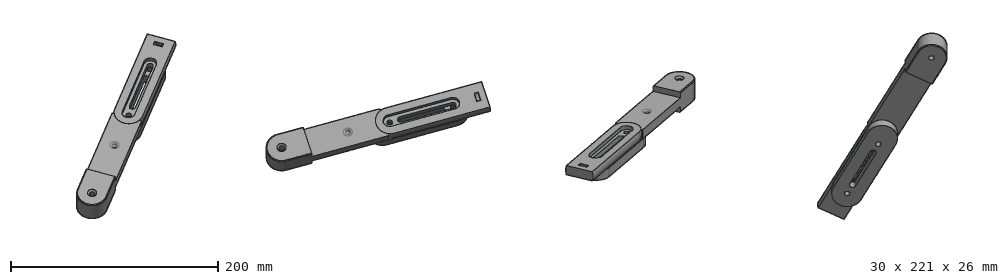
import cadquery as cq
import math

LENGTH = 221.0
WIDTH = 30.0
THICKNESS = 10.0
HALF_WIDTH = WIDTH / 2
SCREW_DIAMETER = 5.0

HEAD_LENGTH = 41.0
HEAD_HEIGHT = 22.0
HEAD_CHAMFER = 0.9
HEAD_BOTTOM = (THICKNESS - HEAD_HEIGHT) / 2
HEAD_HOLE_Y = HALF_WIDTH
COUNTERSINK_DIAMETER = 8.8
COUNTERSINK_ANGLE = 90.0

DETENT_Y = 81.8
DETENT_RADIUS = SCREW_DIAMETER / 2
DETENT_RIM_RADIUS = 2.5

PAD_START_Y = 101.7
PAD_LENGTH = 101.2

TONGUE_END_CENTER_Y = 124.5
SIDE_BULGE = 0.9
ARM_TIP_Y = 117.8
HORN_BEVEL = 0.9

SCREW_SPACING = 63.9
FRONT_SCREW_Y = 124.0
REAR_SCREW_Y = FRONT_SCREW_Y + SCREW_SPACING
RECESS_WIDTH = 12.5
RECESS_DEPTH = 4.2
SLOT_WIDTH = 6.0
SLOT_FRONT_Y = 132.2
TONGUE_SLOT_REAR_Y = REAR_SCREW_Y + SLOT_WIDTH / 2
PAD_SLOT_REAR_Y = 179.7

NOTCH_Y = 212.5
NOTCH_RADIUS = 4.5
NOTCH_WIDTH = 4.0


def obround(start_y, end_y, width, bottom, height):
    """Upright prism with two round ends, running along Y on the middle plane."""
    return (
        cq.Workplane("XY", origin=(0, (start_y + end_y) / 2, bottom))
        .slot2D(end_y - start_y, width, 90)
        .extrude(height)
    )


def screw_hole(y, bottom, height):
    return cq.Workplane("XY", origin=(0, y, bottom)).circle(SCREW_DIAMETER / 2).extrude(height)


def tongue_blank():
    """Straight bar with bulging sides, closed by the same profile revolved about its end centre."""
    edge = HALF_WIDTH - SIDE_BULGE
    middle = THICKNESS / 2
    bar = (
        cq.Workplane("XZ", origin=(0, TONGUE_END_CENTER_Y, 0))
        .moveTo(-edge, 0)
        .lineTo(edge, 0)
        .threePointArc((HALF_WIDTH, middle), (edge, THICKNESS))
        .lineTo(-edge, THICKNESS)
        .threePointArc((-HALF_WIDTH, middle), (-edge, 0))
        .close()
        .extrude(TONGUE_END_CENTER_Y - LENGTH)
    )
    round_end = (
        cq.Workplane("XZ", origin=(0, TONGUE_END_CENTER_Y, 0))
        .lineTo(edge, 0)
        .threePointArc((HALF_WIDTH, middle), (edge, THICKNESS))
        .lineTo(0, THICKNESS)
        .close()
        .revolve(360, (0, 0), (0, 1))
    )
    return bar.union(round_end)


def make_head():
    head = (
        cq.Workplane("XY", origin=(0, 0, HEAD_BOTTOM))
        .moveTo(-HALF_WIDTH, HEAD_LENGTH)
        .lineTo(-HALF_WIDTH, HALF_WIDTH)
        .threePointArc((0, 0), (HALF_WIDTH, HALF_WIDTH))
        .lineTo(HALF_WIDTH, HEAD_LENGTH)
        .close()
        .extrude(HEAD_HEIGHT)
    )
    return head.faces("|Z").edges("not(>Y)").chamfer(HEAD_CHAMFER)


def detent_cutter():
    """Revolved dimple; the rim arc is tangent to both the hemisphere and the arm's top face."""
    center_distance = DETENT_RADIUS + DETENT_RIM_RADIUS
    rim = math.sqrt(center_distance**2 - DETENT_RIM_RADIUS**2)
    contact_angle = math.atan2(DETENT_RIM_RADIUS, rim)
    contact = (DETENT_RADIUS * math.cos(contact_angle), -DETENT_RADIUS * math.sin(contact_angle))
    bowl_angle = (contact_angle + math.pi / 2) / 2
    bowl_middle = (DETENT_RADIUS * math.cos(bowl_angle), -DETENT_RADIUS * math.sin(bowl_angle))
    rim_angle = (math.pi / 2 + math.pi - contact_angle) / 2
    rim_middle = (
        rim + DETENT_RIM_RADIUS * math.cos(rim_angle),
        -DETENT_RIM_RADIUS + DETENT_RIM_RADIUS * math.sin(rim_angle),
    )
    return (
        cq.Workplane("XZ", origin=(0, DETENT_Y, THICKNESS))
        .moveTo(0, -DETENT_RADIUS)
        .threePointArc(bowl_middle, contact)
        .threePointArc(rim_middle, (rim, 0))
        .lineTo(0, 0)
        .close()
        .revolve(360, (0, 0), (0, 1))
    )


def make_arm():
    """Flat arm with bevelled horns around the seat that receives the tongue."""
    arm = (
        cq.Workplane("XY")
        .moveTo(-HALF_WIDTH, HEAD_LENGTH)
        .lineTo(-HALF_WIDTH, ARM_TIP_Y)
        .lineTo(-HALF_WIDTH + HORN_BEVEL, ARM_TIP_Y + HORN_BEVEL)
        .lineTo(HALF_WIDTH - HORN_BEVEL, ARM_TIP_Y + HORN_BEVEL)
        .lineTo(HALF_WIDTH, ARM_TIP_Y)
        .lineTo(HALF_WIDTH, HEAD_LENGTH)
        .close()
        .extrude(THICKNESS)
    )
    return arm.cut(tongue_blank()).cut(detent_cutter())


def make_pad():
    pad = obround(PAD_START_Y, PAD_START_Y + PAD_LENGTH, WIDTH, -THICKNESS, THICKNESS)
    pad = pad.cut(obround(SLOT_FRONT_Y, PAD_SLOT_REAR_Y, SLOT_WIDTH, -THICKNESS, THICKNESS))
    for y in (FRONT_SCREW_Y, REAR_SCREW_Y):
        pad = pad.cut(screw_hole(y, -THICKNESS, THICKNESS))
    return pad


def make_base():
    base = make_head().union(make_arm()).union(make_pad())
    return (
        base.faces(">Z")
        .workplane(origin=(0, HEAD_HOLE_Y, 0))
        .cskHole(SCREW_DIAMETER, COUNTERSINK_DIAMETER, COUNTERSINK_ANGLE)
    )


def make_tongue():
    recess_end = RECESS_WIDTH / 2
    recess = obround(
        FRONT_SCREW_Y - recess_end, REAR_SCREW_Y + recess_end,
        RECESS_WIDTH, THICKNESS - RECESS_DEPTH, RECESS_DEPTH,
    )
    slot = obround(SLOT_FRONT_Y, TONGUE_SLOT_REAR_Y, SLOT_WIDTH, 0, THICKNESS)
    notch = (
        cq.Workplane("XZ", origin=(0, NOTCH_Y + NOTCH_WIDTH / 2, THICKNESS))
        .circle(NOTCH_RADIUS)
        .extrude(NOTCH_WIDTH)
    )
    return tongue_blank().cut(recess).cut(slot).cut(screw_hole(FRONT_SCREW_Y, 0, THICKNESS)).cut(notch)


base = make_base()
tongue = make_tongue()

result = cq.Compound.makeCompound([base.solids().val(), tongue.solids().val()])